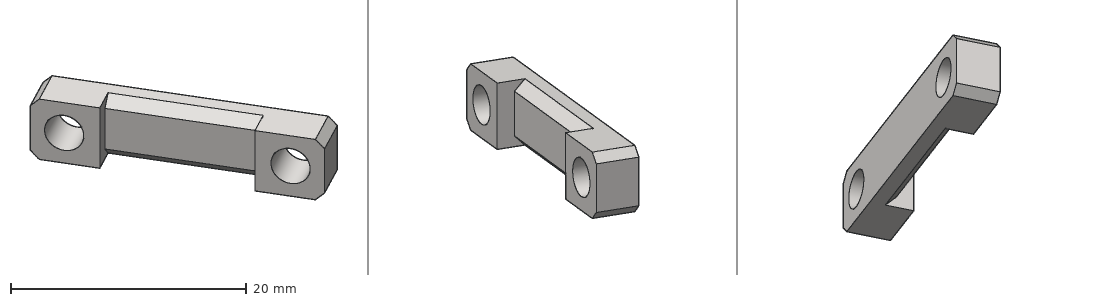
import cadquery as cq

length = 26.0
depth = 4.0
height = 6.0
corner_chamfer = 0.8

hole_diameter = 3.45
hole_spacing = 20.0

bridge_length = 13.7
bridge_depth = 2.4
bridge_chamfer = 1.0

body = (
    cq.Workplane("XY")
    .box(length, depth, height)
    .edges("|Y")
    .chamfer(corner_chamfer)
)

middle = cq.Workplane("XY").box(bridge_length, depth, height)
bridge = (
    cq.Workplane("XY")
    .box(bridge_length, bridge_depth, height)
    .translate((0, (depth - bridge_depth) / 2, 0))
    .faces("<Y")
    .edges("|X")
    .chamfer(bridge_chamfer)
)
body = body.cut(middle).union(bridge)

holes = (
    cq.Workplane("XZ", origin=(0, depth / 2, 0))
    .pushPoints([(-hole_spacing / 2, 0), (hole_spacing / 2, 0)])
    .circle(hole_diameter / 2)
    .extrude(depth)
)

result = body.cut(holes)